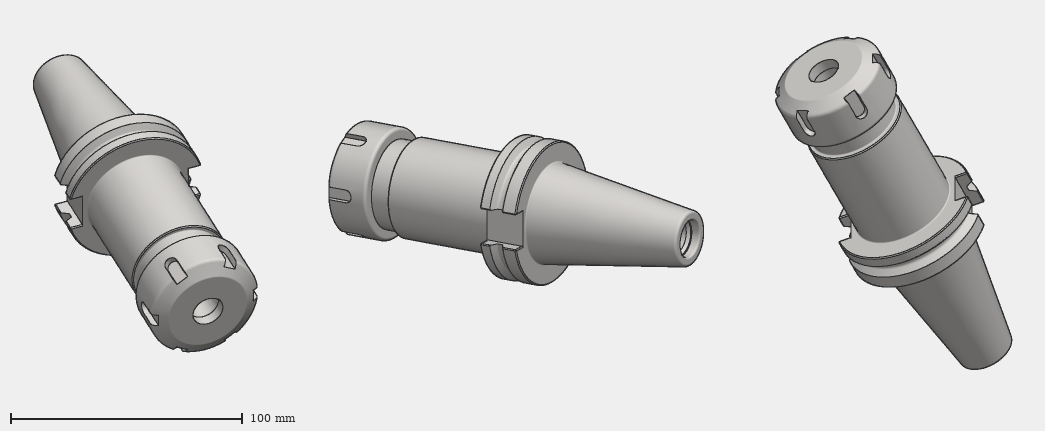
import cadquery as cq
import math

total_length = 169.9
taper_end = 68.5
flange_start = 69.3
flange_end = 87.3
groove_start = 76.0
groove_width = 6.5
body_end = 138.3
nut_start = 147.6

body_radius = 44.5 / 2
taper_rate = 7 / 24
tip_radius = body_radius - taper_end * taper_rate / 2
tip_fillet = 1.4
flange_radius = 63.4 / 2
groove_radius = 28.2
groove_wall_angle = 60.0
groove_fillet = 1.0
edge_chamfer = 0.5
flange_back_fillet = 0.7
corner_fillet = 0.5
neck_radius = 40.0 / 2

key_slot_width = 15.8
key_slot_floor = 24.6

bore_radius = 14.0 / 2
mouth_bore_radius = 16.5 / 2
mouth_bore_depth = 4.0
step_bore_radius = 16.3 / 2
step_bore_depth = 4.6
mouth_fillet = 0.8
bore_cone_depth = 6.1

nut_radius = 50.0 / 2
nut_face_radius = 36.7 / 2
nut_cone_angle = 60.0
nut_front_fillet = 1.9
nut_face_fillet = 1.0
nut_back_fillet = 1.5
nut_wall = 5.1
nut_cone_length = (nut_radius - nut_face_radius) / math.tan(math.radians(nut_cone_angle))
neck_end = total_length - nut_wall

wrench_slot_count = 6
wrench_slot_start = 155.0
wrench_slot_width = 5.8
wrench_slot_floor = 22.0
wrench_slot_overshoot = 1.7

tolerance = 0.02


def revolve_about_x(profile):
    """Turn a closed XY profile a full round about the X axis."""
    return profile.close().revolve(360, (0, 0, 0), (1, 0, 0))


def is_near(value, target):
    """Tell whether two positions agree within the tolerance."""
    return abs(value - target) < tolerance


def ring_edge(body, x, radius):
    """Pick the full circular edge about the X axis at this place and radius."""
    def matches(edge):
        start = edge.startPoint()
        is_circle = edge.geomType() == "CIRCLE"
        return is_circle and is_near(start.x, x) and is_near(math.hypot(start.y, start.z), radius)

    return body.newObject([edge for edge in body.edges().vals() if matches(edge)])


def make_holder_blank():
    """Taper, flange, body and neck as one turned shape."""
    groove_drop = flange_radius - groove_radius
    groove_slope = groove_drop / math.tan(math.radians(groove_wall_angle))
    groove_end = groove_start + groove_width
    profile = (
        cq.Workplane("XY")
        .lineTo(0, tip_radius)
        .lineTo(taper_end, body_radius)
        .lineTo(flange_start, body_radius)
        .lineTo(flange_start, flange_radius)
        .lineTo(groove_start, flange_radius)
        .lineTo(groove_start + groove_slope, groove_radius)
        .lineTo(groove_end - groove_slope, groove_radius)
        .lineTo(groove_end, flange_radius)
        .lineTo(flange_end, flange_radius)
        .lineTo(flange_end, body_radius)
        .lineTo(body_end, body_radius)
        .lineTo(body_end, neck_radius)
        .lineTo(neck_end, neck_radius)
        .lineTo(neck_end, 0)
    )
    blank = revolve_about_x(profile)
    for x in (groove_start + groove_slope, groove_end - groove_slope):
        blank = ring_edge(blank, x, groove_radius).fillet(groove_fillet)
    blank = ring_edge(blank, flange_start, body_radius).fillet(flange_back_fillet)
    for x, radius in ((flange_end, body_radius), (body_end, neck_radius)):
        blank = ring_edge(blank, x, radius).fillet(corner_fillet)
    blank = ring_edge(blank, body_end, body_radius).chamfer(edge_chamfer)
    return ring_edge(blank, 0, tip_radius).fillet(tip_fillet)


def make_key_slots():
    """Two flat-bottomed slots across the flange, on the -Y and +Y sides."""
    length = flange_end - flange_start
    depth = flange_radius - key_slot_floor
    slot_distance = key_slot_floor + depth / 2
    return (
        cq.Workplane("XY", origin=(flange_start + length / 2, 0, 0))
        .pushPoints([(0, -slot_distance), (0, slot_distance)])
        .box(length, depth, key_slot_width)
    )


def make_holder_bore():
    """Through bore with a wider, stepped mouth that narrows in a short cone."""
    profile = (
        cq.Workplane("XY")
        .lineTo(0, mouth_bore_radius + mouth_fillet)
        .radiusArc((mouth_fillet, mouth_bore_radius), -mouth_fillet)
        .lineTo(mouth_bore_depth, mouth_bore_radius)
        .lineTo(mouth_bore_depth, step_bore_radius)
        .lineTo(step_bore_depth, step_bore_radius)
        .lineTo(bore_cone_depth, bore_radius)
        .lineTo(total_length, bore_radius)
        .lineTo(total_length, 0)
    )
    return revolve_about_x(profile)


def flange_rim_edges(blank):
    """Pick the rims of the slotted flange, and the slot wall edges at the rims and end faces."""
    def matches(edge):
        points = [edge.positionAt(t) for t in (0.0, 0.5, 1.0)]
        on_face = any(all(is_near(p.x, x) for p in points) for x in (flange_start, flange_end))
        on_rim = all(is_near(math.hypot(p.y, p.z), flange_radius) for p in points)
        on_wall = all(is_near(abs(p.z), key_slot_width / 2) for p in points)
        return (on_face and on_rim) or (on_face and on_wall) or (on_rim and on_wall)

    return blank.newObject([edge for edge in blank.edges().vals() if matches(edge)])


def make_holder():
    """Tool holder with its drive key slots and draw bar bore."""
    holder = make_holder_blank().cut(make_key_slots())
    holder = flange_rim_edges(holder).chamfer(edge_chamfer)
    return holder.cut(make_holder_bore())


def make_wrench_slot():
    """Cutter for one wrench slot on the -Y side, round at the back and open at the front."""
    end_radius = wrench_slot_width / 2
    return (
        cq.Workplane("XZ", origin=(0, -wrench_slot_floor, 0))
        .moveTo(total_length, end_radius)
        .lineTo(wrench_slot_start + end_radius, end_radius)
        .threePointArc((wrench_slot_start, 0), (wrench_slot_start + end_radius, -end_radius))
        .lineTo(total_length, -end_radius)
        .close()
        .extrude(nut_radius - wrench_slot_floor + wrench_slot_overshoot)
    )


def make_nut():
    """Clamping nut that caps the neck of the holder."""
    cone_start = total_length - nut_cone_length
    profile = (
        cq.Workplane("XY")
        .moveTo(nut_start, neck_radius)
        .lineTo(nut_start, nut_radius)
        .lineTo(cone_start, nut_radius)
        .lineTo(total_length, nut_face_radius)
        .lineTo(total_length, bore_radius)
        .lineTo(neck_end, bore_radius)
        .lineTo(neck_end, neck_radius)
    )
    nut = revolve_about_x(profile)
    nut = ring_edge(nut, nut_start, nut_radius).fillet(nut_back_fillet)
    nut = ring_edge(nut, cone_start, nut_radius).fillet(nut_front_fillet)
    nut = ring_edge(nut, total_length, nut_face_radius).fillet(nut_face_fillet)
    slot = make_wrench_slot()
    for i in range(wrench_slot_count):
        nut = nut.cut(slot.rotate((0, 0, 0), (1, 0, 0), i * 360 / wrench_slot_count))
    return nut


holder = make_holder()
nut = make_nut()

result = cq.Compound.makeCompound([holder.val(), nut.val()])